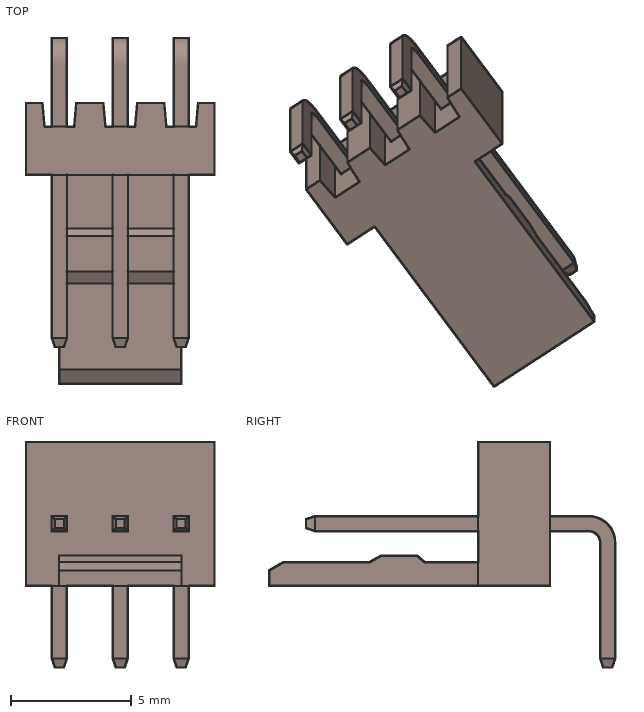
import cadquery as cq


housing_width = 7.87
housing_depth = 3.0
housing_height = 6.0

pin_count = 3
pin_pitch = 2.54
pin_size = 0.63
pin_axis_height = 2.6
pin_reach_front = 7.18
pin_back = 5.71
pin_bottom = -3.4
bend_outer_radius = 1.11
bend_inner_radius = bend_outer_radius - pin_size
tip_length = 0.39
tip_size = 0.37

notch_depth = 1.0
notch_mouth_width = 1.4
notch_floor_width = 1.23

tab_width = 5.09
tab_length = 14.42 - pin_back
tab_thickness = 1.0
tab_nose_length = 0.59
tab_nose_height = 0.65
ridge_height = 1.27
ridge_back = 2.24
ridge_top_back = 2.55
ridge_top_front = 4.04
ridge_front = 4.53

pin_positions = [(i - (pin_count - 1) / 2) * pin_pitch for i in range(pin_count)]


def make_tab():
    """Flat tongue with a low locking ridge and a bevelled nose."""
    profile = [
        (0, 0),
        (-tab_length, 0),
        (-tab_length, tab_nose_height),
        (-tab_length + tab_nose_length, tab_thickness),
        (-ridge_front, tab_thickness),
        (-ridge_top_front, ridge_height),
        (-ridge_top_back, ridge_height),
        (-ridge_back, tab_thickness),
        (0, tab_thickness),
    ]
    return cq.Workplane("YZ").polyline(profile).close().extrude(tab_width / 2, both=True)


def make_notch(x):
    """Full-height tapered notch in the housing back."""
    floor = housing_depth - notch_depth
    outline = [
        (x - notch_floor_width / 2, floor),
        (x + notch_floor_width / 2, floor),
        (x + notch_mouth_width / 2, housing_depth),
        (x - notch_mouth_width / 2, housing_depth),
    ]
    return cq.Workplane("XY").polyline(outline).close().extrude(housing_height)


def make_tip(plane):
    """Square tip that tapers along the normal of the given plane."""
    return (
        cq.Workplane(plane)
        .rect(pin_size, pin_size)
        .workplane(offset=tip_length)
        .rect(tip_size, tip_size)
        .loft(ruled=True)
    )


def make_pin(x):
    """Square pin running back through the housing, then bent downwards."""
    top = pin_axis_height + pin_size / 2
    shoulder_front = -pin_reach_front + tip_length
    shoulder_bottom = pin_bottom + tip_length
    shank = (
        cq.Workplane("YZ", origin=(x, 0, 0))
        .moveTo(shoulder_front, top)
        .lineTo(pin_back - bend_outer_radius, top)
        .radiusArc((pin_back, top - bend_outer_radius), bend_outer_radius)
        .lineTo(pin_back, shoulder_bottom)
        .lineTo(pin_back - pin_size, shoulder_bottom)
        .lineTo(pin_back - pin_size, top - bend_outer_radius)
        .radiusArc((pin_back - bend_outer_radius, top - pin_size), -bend_inner_radius)
        .lineTo(shoulder_front, top - pin_size)
        .close()
        .extrude(pin_size / 2, both=True)
    )
    front_plane = cq.Plane((x, shoulder_front, pin_axis_height), (1, 0, 0), (0, -1, 0))
    bottom_plane = cq.Plane((x, pin_back - pin_size / 2, shoulder_bottom), (1, 0, 0), (0, 0, -1))
    return shank.union(make_tip(front_plane)).union(make_tip(bottom_plane))


def make_housing(pins):
    """Housing block and tab, with a notch and a fitted hole for every pin."""
    body = cq.Workplane("XY").box(
        housing_width, housing_depth, housing_height, centered=(True, False, False)
    )
    body = body.union(make_tab())
    for x, pin in zip(pin_positions, pins):
        body = body.cut(make_notch(x)).cut(pin)
    return body


pins = [make_pin(x) for x in pin_positions]
housing = make_housing(pins)

result = cq.Compound.makeCompound([housing.val(), *[pin.val() for pin in pins]])